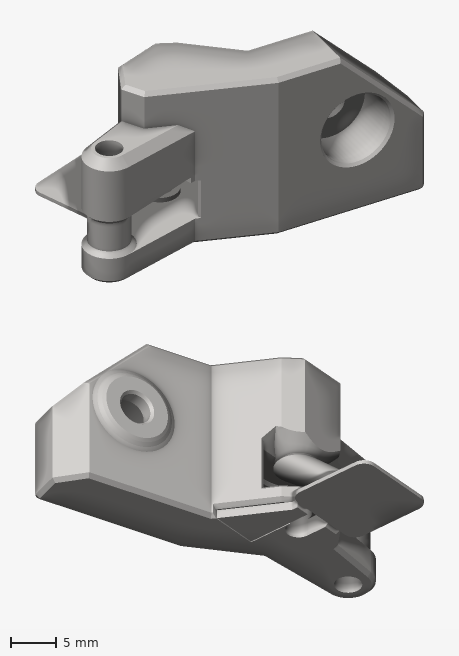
import cadquery as cq
import math

HEIGHT = 20.8
EDGE_CHAMFER = 0.47
TOLERANCE = 0.005
FAR = 47.45

PIVOT_X = 14.3
PIVOT_Y = 14.8
WASHER_D = 4.6
PIVOT_HOLE_D = 3.0
WASHER_HEIGHT = 0.6

ARM_ANGLE = 20.0
ARM_ROOT_X = 20.05
ARM_ROOT_Y = 22.98
SLOPE_START_Y = 30.57
ARM_X = math.sin(math.radians(ARM_ANGLE))
ARM_Y = math.cos(math.radians(ARM_ANGLE))


def back_face_x(y):
    """X of the arm's back face at the given Y."""
    return ARM_ROOT_X + (y - ARM_ROOT_Y) * ARM_X / ARM_Y


ARM_SHOULDER_Y = 37.75
ARM_SIDE_TAPER = 0.1
BODY_OUTLINE = [
    (11.25, 11.25),
    (14.4, 8.1),
    (17.32, 8.62),
    (26.78, 20.5),
    (33.05, 37.77),
    (32.8, 38.3),
    (29.23, 39.55),
    (back_face_x(ARM_SHOULDER_Y), ARM_SHOULDER_Y),
    (ARM_ROOT_X, ARM_ROOT_Y),
    (13.15, 19.2),
    (11.25, 17.32),
]
FRONT_SIDE = 2
BACK_SIDE = 8
REAR_LEFT_SIDES = [BACK_SIDE, 9, 10, 0]

BOSS_Y = 32.4
BOSS_Z = 10.8
BOSS_PROFILE = [(5.25, 0.0), (4.8, 0.25), (4.35, 0.55), (3.95, 0.8)]
BOSS_HEIGHT = BOSS_PROFILE[-1][1]
BOSS_ROOT = 0.4
BOSS_HOLE_D = 3.75
BOSS_HOLE_CHAMFER = 0.3
BORE_D = 8.85
BORE_CHAMFER = 0.3
BORE_FLOOR = 1.03
ARM_THICKNESS = 7.15

LUG_X = 16.93
LUG_R = 3.1
LUG_Y = LUG_R
LUG_FLARE = 5.0
LUG_END_Y = 13.2
LUG_HEIGHT = 16.15
LUG_CHAMFER = 1.05
LUG_HOLE_D = 3.15
TUBE_D = 4.95

GAP_BOTTOM = 3.45
GAP_TOP = 8.45
UPPER_WASHER_TOP = 8.8
TUBE_TOP = 7.75
SWING_R = 5.05
SWING_TOP = 9.18
GAP_WALL_ANGLE = 30.0
RELIEF_MIN_X = 20.1
RELIEF_MAX_Y = 12.45
BACK_EXIT_CHAMFER = 0.87
RAMP_X = 15.75

RECESS_HEIGHT = 1.2
RECESS_MAX_X = 19.95
SLOT_TOP = 2.2
SLOT_WIDTH = PIVOT_HOLE_D
SLOT_MAX_Y = PIVOT_Y + SLOT_WIDTH / 2

BLOCK_CLEARANCE = 0.1
BLOCK_MIN_X = 11.63
BLOCK_CORNER_X = 12.35
BLOCK_CORNER_Y = 18.2
BLOCK_MAX_Y = 22.3

PAD_SIZE = 11.0
PAD_THICKNESS = 0.47
PAD_CORNER_R = 1.45
FOOT_X = 8.5
FOOT_D = 5.0
FOOT_TOP = 3.35
COLUMN_TOP_D = 5.6
COLUMN_TOP_CHAMFER = 0.25


def cylinder(x, y, diameter, bottom, top):
    plane = cq.Workplane("XY", origin=(x, y, bottom))
    return plane.circle(diameter / 2).extrude(top - bottom)


def cone(x, y, bottom, bottom_radius, top, top_radius):
    profile = cq.Workplane("XZ", origin=(x, y, 0)).polyline(
        [(0, bottom), (bottom_radius, bottom), (top_radius, top), (0, top)]
    )
    return profile.close().revolve(360, (0, 0, 0), (0, 1, 0))


def cone_up(x, y, radius, bottom, top):
    """A 45 degree cone that widens upwards from the given radius."""
    return cone(x, y, bottom, radius, top, radius + top - bottom)


def cone_down(x, y, radius, bottom, top):
    """A 45 degree cone that narrows upwards to the given radius."""
    return cone(x, y, bottom, radius + top - bottom, top, radius)


def crosses_arm(edge):
    """Whether an edge on the sloped stretch of the arm runs across it, such as its two ends."""
    middle = edge.Center()
    start = edge.startPoint()
    end = edge.endPoint()
    slope_x = back_face_x(SLOPE_START_Y)
    along = (middle.x - slope_x) * ARM_X + (middle.y - SLOPE_START_Y) * ARM_Y
    across = (end.x - start.x) * ARM_Y - (end.y - start.y) * ARM_X
    return along > -TOLERANCE and abs(across) > ARM_SIDE_TAPER


def body_block():
    """The body and arm as one upright block, with the arm's top sloped at 45 degrees."""
    block = cq.Workplane("XY").polyline(BODY_OUTLINE).close().extrude(HEIGHT)
    slope_plane = cq.Plane(
        origin=(back_face_x(SLOPE_START_Y), SLOPE_START_Y, HEIGHT),
        xDir=(ARM_X, ARM_Y, 0),
        normal=(ARM_Y, -ARM_X, 0),
    )
    wedge = cq.Workplane(slope_plane).polyline([(0, 0), (HEIGHT, 0), (HEIGHT, -HEIGHT)])
    block = block.cut(wedge.close().extrude(FAR, both=True))

    slope_normal = cq.Vector(ARM_X, ARM_Y, 1)
    slope_face = block.faces(cq.selectors.DirectionMinMaxSelector(slope_normal, True))
    edges = block.faces(">Z").edges().vals() + slope_face.edges().vals()
    return block.newObject([edge for edge in edges if not crosses_arm(edge)]).chamfer(EDGE_CHAMFER)


def lug():
    """Round nose with two straight sides that flare out into the body."""
    flare = math.radians(LUG_FLARE)
    tangent_x = LUG_R * math.cos(flare)
    tangent_y = LUG_Y - LUG_R * math.sin(flare)
    end_x = tangent_x + (LUG_END_Y - tangent_y) * math.tan(flare)
    ear = (
        cq.Workplane("XY")
        .moveTo(LUG_X - end_x, LUG_END_Y)
        .lineTo(LUG_X - tangent_x, tangent_y)
        .threePointArc((LUG_X, LUG_Y - LUG_R), (LUG_X + tangent_x, tangent_y))
        .lineTo(LUG_X + end_x, LUG_END_Y)
        .close()
        .extrude(LUG_HEIGHT)
    )
    return ear.faces(">Z").edges("not >Y").chamfer(LUG_CHAMFER)


def arm_turning(points):
    """Turns a profile of (radius, height above the arm's back face) about the bore axis."""
    plane = cq.Plane(
        origin=(back_face_x(BOSS_Y), BOSS_Y, BOSS_Z),
        xDir=(0, 0, 1),
        normal=(ARM_X, ARM_Y, 0),
    )
    profile = cq.Workplane(plane).polyline([(radius, -height) for radius, height in points])
    return profile.close().revolve(360, (0, 0, 0), (0, 1, 0))


def boss():
    base_r = BOSS_PROFILE[0][0]
    root = [(0, -BOSS_ROOT), (base_r, -BOSS_ROOT)]
    return arm_turning(root + BOSS_PROFILE + [(0, BOSS_HEIGHT)])


def arm_bore():
    hole_r = BOSS_HOLE_D / 2
    bore_r = BORE_D / 2
    return arm_turning([
        (0, BOSS_HEIGHT),
        (hole_r + BOSS_HOLE_CHAMFER, BOSS_HEIGHT),
        (hole_r, BOSS_HEIGHT - BOSS_HOLE_CHAMFER),
        (hole_r, -BORE_FLOOR),
        (bore_r, -BORE_FLOOR),
        (bore_r, -ARM_THICKNESS + BORE_CHAMFER),
        (bore_r + BORE_CHAMFER, -ARM_THICKNESS),
        (bore_r + BORE_CHAMFER, -FAR),
        (0, -FAR),
    ])


def under_roof(flat_z):
    """Everything above the gap floor and below a roof that is flat, then rises at 45 degrees to -X."""
    turn_x = RAMP_X + SWING_TOP - flat_z
    profile = cq.Workplane("XZ").polyline(
        [(0, GAP_BOTTOM), (FAR, GAP_BOTTOM), (FAR, flat_z), (turn_x, flat_z), (0, flat_z + turn_x)]
    )
    return profile.close().extrude(FAR, both=True)


def gap_outline():
    """Open side of the gap, bounded by the flat inner wall that is tangent to the round one."""
    angle = math.radians(GAP_WALL_ANGLE)
    wall_x = PIVOT_X + SWING_R * math.cos(angle)
    wall_y = PIVOT_Y + SWING_R * math.sin(angle)
    end_x = wall_x + wall_y * math.tan(angle)
    return cq.Workplane("XY").polyline(
        [(wall_x, wall_y), (end_x, 0), (0, 0), (0, PIVOT_Y), (PIVOT_X, PIVOT_Y)]
    )


def lug_relief():
    """Raises the roof of the gap where it passes through the lug's +X side."""
    plan = cq.Workplane("XY", origin=(RELIEF_MIN_X, 0, GAP_BOTTOM))
    return plan.box(LUG_R, RELIEF_MAX_Y, SWING_TOP - GAP_BOTTOM, centered=False)


def gap():
    open_side = gap_outline().close().extrude(FAR)
    swing = cylinder(PIVOT_X, PIVOT_Y, 2 * SWING_R, 0, FAR)
    space = open_side.intersect(under_roof(GAP_TOP)).union(swing.intersect(under_roof(SWING_TOP)))
    space = space.union(lug_relief())
    space = space.cut(cone_up(PIVOT_X, PIVOT_Y, WASHER_D / 2, UPPER_WASHER_TOP, FAR))
    return space.cut(cone_up(LUG_X, LUG_Y, TUBE_D / 2, TUBE_TOP, FAR))


def on_outline(point, side_starts):
    """Whether the point lies over one of the outline's sides, each named by its starting corner."""
    for start in side_starts:
        x0, y0 = BODY_OUTLINE[start]
        x1, y1 = BODY_OUTLINE[(start + 1) % len(BODY_OUTLINE)]
        offset = (point.x - x0) * (y1 - y0) - (point.y - y0) * (x1 - x0)
        if abs(offset) < TOLERANCE * math.hypot(x1 - x0, y1 - y0):
            return True
    return False


def rim_edges(solid, level):
    """Level edges that a cut leaves along the body's back and left sides."""
    return [
        edge
        for edge in solid.edges().vals()
        if abs(edge.startPoint().z - level) < TOLERANCE
        and abs(edge.endPoint().z - level) < TOLERANCE
        and on_outline(edge.Center(), REAR_LEFT_SIDES)
    ]


def gap_exit_edges(solid, side):
    """Upright edges where an inner wall of the gap comes out through one side of the body."""
    return [
        edge
        for edge in solid.edges("|Z").vals()
        if GAP_BOTTOM < edge.Center().z < SWING_TOP
        and edge.Center().y > LUG_END_Y
        and on_outline(edge.Center(), [side])
        and not on_outline(edge.Center(), [side - 1])
        and not on_outline(edge.Center(), [side + 1])
    ]


def recess():
    """Open towards -X and +Y."""
    plan = cq.Workplane("XY", origin=(0, SLOT_MAX_Y, 0))
    return plan.box(RECESS_MAX_X, FAR, RECESS_HEIGHT, centered=False)


def slot():
    """Slot under the pivot hole, open towards -X and downwards."""
    plan = cq.Workplane("XY", origin=(0, PIVOT_Y, 0))
    straight_part = plan.box(PIVOT_X, SLOT_WIDTH, SLOT_TOP, centered=(False, True, False))
    round_end = cylinder(PIVOT_X, PIVOT_Y, SLOT_WIDTH, 0, SLOT_TOP)
    return straight_part.union(round_end)


def bracket_body():
    solid = body_block().union(lug())
    solid = solid.faces("<Z").edges().chamfer(EDGE_CHAMFER)
    solid = solid.cut(gap())
    solid = solid.newObject(gap_exit_edges(solid, FRONT_SIDE)).chamfer(EDGE_CHAMFER)
    solid = solid.newObject(gap_exit_edges(solid, BACK_SIDE)).chamfer(BACK_EXIT_CHAMFER)
    solid = solid.newObject(rim_edges(solid, GAP_BOTTOM)).chamfer(EDGE_CHAMFER)
    solid = solid.cut(recess())
    solid = solid.newObject(rim_edges(solid, RECESS_HEIGHT)).chamfer(EDGE_CHAMFER)
    return solid.cut(slot())


def pivot_washers():
    lower = cylinder(PIVOT_X, PIVOT_Y, WASHER_D, GAP_BOTTOM, GAP_BOTTOM + WASHER_HEIGHT)
    upper = cylinder(PIVOT_X, PIVOT_Y, WASHER_D, GAP_TOP, UPPER_WASHER_TOP)
    return lower, upper


def lug_tube():
    """Joins the base plate to the upper part around the lug's hole, with a cone at its foot."""
    tube = cylinder(LUG_X, LUG_Y, TUBE_D, GAP_BOTTOM, TUBE_TOP)
    lower_cone = cone_down(LUG_X, LUG_Y, TUBE_D / 2, GAP_BOTTOM, GAP_BOTTOM + WASHER_HEIGHT)
    return tube.union(lower_cone)


def make_bracket():
    lower_washer, upper_washer = pivot_washers()
    solid = bracket_body().union(lower_washer).union(upper_washer).union(lug_tube())
    solid = solid.union(boss()).cut(arm_bore())
    solid = solid.cut(cylinder(PIVOT_X, PIVOT_Y, PIVOT_HOLE_D, 0, GAP_BOTTOM + WASHER_HEIGHT))
    return solid.cut(cylinder(LUG_X, LUG_Y, LUG_HOLE_D, 0, LUG_HEIGHT))


def make_column():
    """Pad on the ground, a round foot, and a slanted post that reaches the upper washer."""
    pad = cq.Workplane("XY").box(PAD_SIZE, PAD_SIZE, PAD_THICKNESS, centered=(False, True, False))
    pad = pad.edges("|Z").fillet(PAD_CORNER_R).translate((0, PIVOT_Y, 0))
    foot = cylinder(FOOT_X, PIVOT_Y, FOOT_D, 0, FOOT_TOP)
    rim_z = GAP_TOP - COLUMN_TOP_CHAMFER
    post = (
        cq.Workplane("XY", origin=(FOOT_X, PIVOT_Y, FOOT_TOP))
        .circle(FOOT_D / 2)
        .workplane(offset=rim_z - FOOT_TOP)
        .center(PIVOT_X - FOOT_X, 0)
        .circle(COLUMN_TOP_D / 2)
        .loft()
    )
    top = cone_down(PIVOT_X, PIVOT_Y, COLUMN_TOP_D / 2 - COLUMN_TOP_CHAMFER, rim_z, GAP_TOP)
    return pad.union(foot).union(post).union(top)


def make_block():
    """Support block that fills the recess with a small clearance."""
    min_y = SLOT_MAX_Y + BLOCK_CLEARANCE
    max_x = RECESS_MAX_X - BLOCK_CLEARANCE
    return (
        cq.Workplane("XY")
        .moveTo(BLOCK_MIN_X, min_y)
        .lineTo(BLOCK_MIN_X, BLOCK_CORNER_Y)
        .lineTo(BLOCK_CORNER_X, BLOCK_CORNER_Y)
        .lineTo(max_x, BLOCK_MAX_Y)
        .lineTo(max_x, min_y)
        .close()
        .extrude(RECESS_HEIGHT - BLOCK_CLEARANCE)
    )


bracket = make_bracket()
support_column = make_column()
support_block = make_block()
result = cq.Compound.makeCompound([bracket.val(), support_column.val(), support_block.val()])